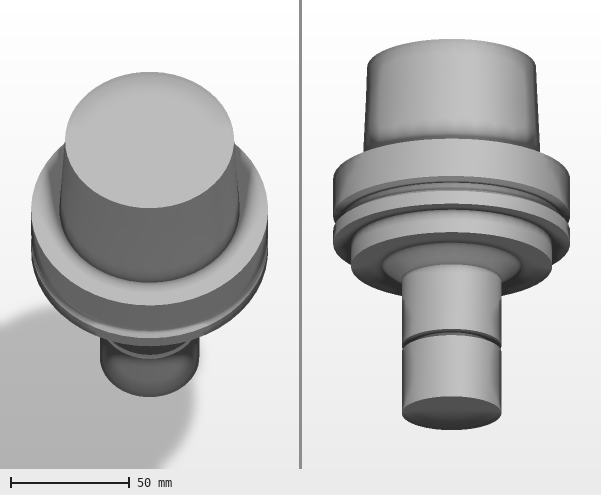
import cadquery as cq

total_height = 155.0

barrel_diameter = 42.0
head_length = 27.5
neck_diameter = 33.5
neck_length = 2.8

nose_z = head_length + neck_length
shoulder_base_z = 59.2
collar_base_z = 65.9
flange_base_z = 76.0
flange_top_z = 105.1

shoulder_diameter = 58.9
collar_diameter = 85.0
flange_diameter = 100.0
taper_base_diameter = 76.1
taper_top_diameter = 71.3

groove_diameter = 92.0
groove_base_z = 81.7
groove_top_z = 88.4
groove_bevel_height = 1.5
groove_bevel_depth = 2.3


def make_cylinder(diameter, base_z, top_z):
    """Coaxial cylinder between two levels."""
    return cq.Workplane("XY").workplane(offset=base_z).circle(diameter / 2).extrude(top_z - base_z)


def make_cone(base_diameter, top_diameter, base_z, top_z):
    """Coaxial truncated cone between two levels."""
    cone = cq.Solid.makeCone(base_diameter / 2, top_diameter / 2, top_z - base_z, cq.Vector(0, 0, base_z))
    return cq.Workplane(cone)


def make_gripper_groove():
    """Ring to remove from the flange: straight floor with a bevelled step on both sides."""
    rim = flange_diameter / 2
    floor = groove_diameter / 2
    bevel_foot = rim - groove_bevel_depth
    profile = [
        (rim, groove_base_z),
        (bevel_foot, groove_base_z + groove_bevel_height),
        (floor, groove_base_z + groove_bevel_height),
        (floor, groove_top_z - groove_bevel_height),
        (bevel_foot, groove_top_z - groove_bevel_height),
        (rim, groove_top_z),
    ]
    return cq.Workplane("XZ").polyline(profile).close().revolve(360, (0, 0, 0), (0, 1, 0))


def make_holder():
    """Nose, conical shoulder, collar, grooved flange and taper in one solid."""
    flange = make_cylinder(flange_diameter, flange_base_z, flange_top_z).cut(make_gripper_groove())
    nose = make_cylinder(barrel_diameter, nose_z, shoulder_base_z)
    shoulder = make_cone(barrel_diameter, shoulder_diameter, shoulder_base_z, collar_base_z)
    collar = make_cylinder(collar_diameter, collar_base_z, flange_base_z)
    taper = make_cone(taper_base_diameter, taper_top_diameter, flange_top_z, total_height)
    return nose.union(shoulder).union(collar).union(flange).union(taper)


def make_tool_head():
    """Cylindrical head whose narrower neck meets the flat end of the nose."""
    head = make_cylinder(barrel_diameter, 0, head_length)
    neck = make_cylinder(neck_diameter, head_length, nose_z)
    return head.union(neck)


holder = make_holder()
tool_head = make_tool_head()
result = cq.Compound.makeCompound([holder.val(), tool_head.val()])